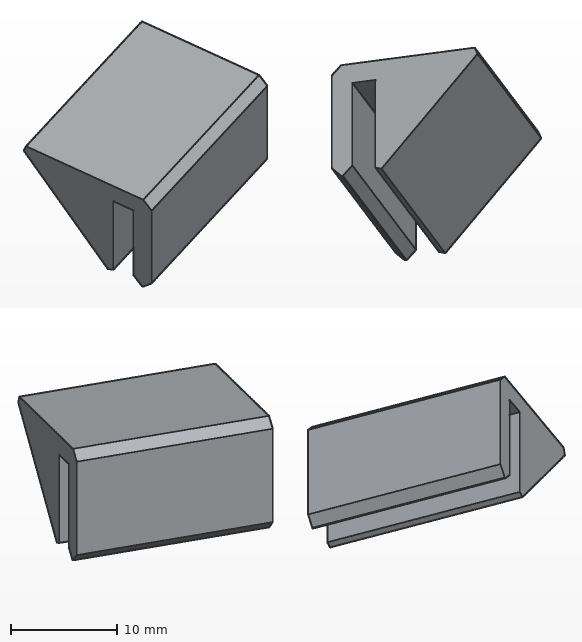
import cadquery as cq

width = 14.4
length = 20.0
height = 11.5

top_thickness = 2.0
leg_thickness = 2.05
slot_width = 2.25
corner_chamfer = 0.95
tip_flat = 0.15
tip_bevel_width = (leg_thickness - tip_flat) / 2
tip_bevel_height = 0.95

edge_bevel_width = 0.28
edge_bevel_height = 0.7
wedge_tip_gap = 0.2
wedge_tip_width = 0.62
wedge_tip_rise = 0.22

leg_inner_x = width - leg_thickness
slot_left_x = leg_inner_x - slot_width
slot_top_z = height - top_thickness

profile = [
    (edge_bevel_width, height),
    (width - corner_chamfer, height),
    (width, height - corner_chamfer),
    (width, tip_bevel_height),
    (width - tip_bevel_width, 0),
    (leg_inner_x + tip_bevel_width, 0),
    (leg_inner_x, tip_bevel_height),
    (leg_inner_x, slot_top_z),
    (slot_left_x, slot_top_z),
    (slot_left_x, wedge_tip_gap + wedge_tip_rise),
    (slot_left_x - wedge_tip_width, wedge_tip_gap),
    (0, height - edge_bevel_height),
]

result = cq.Workplane("XZ").polyline(profile).close().extrude(length / 2, both=True)